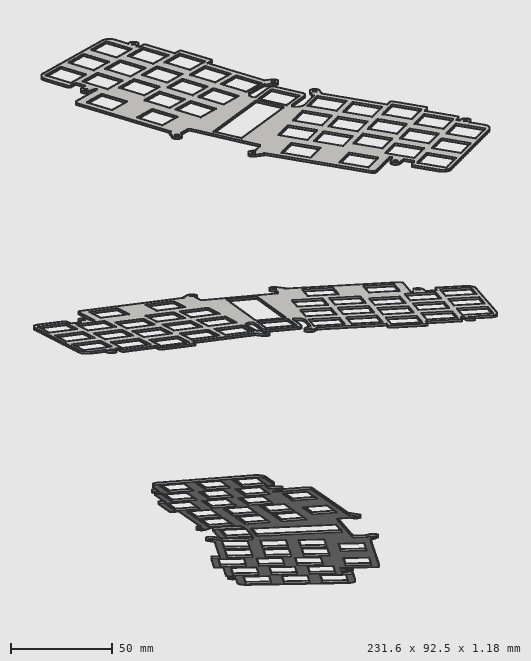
import cadquery as cq
import math


THICKNESS = 1.18
TILT = 7.0
KEY_PITCH = 19.05
COLUMN_STAGGER = KEY_PITCH / 4

CUTOUT_WIDTH = 15.65
CUTOUT_HEIGHT = 12.8
ROW_COUNT = 3
THUMB_SPACING = 1.625 * KEY_PITCH
FIRST_COLUMN_U = -103.53
FIRST_COLUMN_TOP_V = 18.17
COLUMN_OFFSETS = [0, 1, 2, 1, 1]
COLUMN_US = [FIRST_COLUMN_U + i * KEY_PITCH for i in range(len(COLUMN_OFFSETS))]
COLUMN_TOP_VS = [FIRST_COLUMN_TOP_V + n * COLUMN_STAGGER for n in COLUMN_OFFSETS]
INNER_THUMB_U = COLUMN_US[-1] - KEY_PITCH / 2
OUTER_THUMB_U = INNER_THUMB_U - THUMB_SPACING
THUMB_V = COLUMN_TOP_VS[-1] - ROW_COUNT * KEY_PITCH

OUTER_MARGIN = 10.0
STEP_MARGIN = 9.6
FIRST_TOP_MARGIN = 10.45
THIRD_TOP_MARGIN = 9.75
THUMB_SIDE_MARGIN = 12.8
FIELD_INNER_U = -17.8
STEM_U = -16.1
GAP_FLOOR_V = 13.1
FIELD_CORNER_RADIUS = 4.5
STEP_CORNER_RADIUS = 1.0
THUMB_CORNER_RADIUS = 2.0
GAP_OUTER_RADIUS = 4.5
GAP_INNER_RADIUS = 1.2

CENTRE_KEY_WIDTH = 16.0
CENTRE_KEY_HEIGHT = 13.2
CENTRE_KEY_Y = 20.93
CENTRE_FRAME_HALF_WIDTH = 10.15
CENTRE_FRAME_TOP_Y = 31.05
CENTRE_FRAME_RADIUS = 2.5
WINDOW_WIDTH = 16.0
WINDOW_TOP_Y = 12.2
WINDOW_BOTTOM_Y = -31.1
WINDOW_CORNER_RADIUS = 1.0
WEB_BOTTOM_Y = -33.8

HOLE_DIAMETER = 2.1
TAB_RADIUS = 2.5
OUTER_TOP_TAB = (-94.2, 41.85)
INNER_TOP_TAB = (-11.75, 36.15)
INNER_BOTTOM_TAB = (-21.6, -43.74)
OUTER_BOTTOM_TAB = (-87.9, -17.9)
NECK_LENGTH = 5.0
OUTER_TOP_NECK_DIRECTION = -90
INNER_TOP_NECK_DIRECTION = -135
INNER_BOTTOM_NECK_DIRECTION = 135
OUTER_BOTTOM_NECK_DIRECTION = 90
FLARED_NECK_LENGTH = 4.5
FLARE = 1.7


def tilted(u, v):
    """Plate coordinates of a point given in the tilted frame of the left key field."""
    angle = math.radians(TILT)
    x = u * math.cos(angle) + v * math.sin(angle)
    y = v * math.cos(angle) - u * math.sin(angle)
    return x, y


def on_tilted_line(u, y):
    """Point at height y on the tilted line of constant u."""
    angle = math.radians(TILT)
    v = (y + u * math.sin(angle)) / math.cos(angle)
    return tilted(u, v)


def on_floor_line(x, v):
    """Point at position x on the tilted line of constant v."""
    angle = math.radians(TILT)
    u = (x - v * math.sin(angle)) / math.cos(angle)
    return tilted(u, v)


def toward(start, end, distance):
    """Point a given distance from start on the way to end."""
    ratio = distance / math.dist(start, end)
    return start[0] + (end[0] - start[0]) * ratio, start[1] + (end[1] - start[1]) * ratio


def rounded_outline(corners):
    """Closed plate of the full thickness through (point, corner radius) pairs; the first is sharp."""
    outline = cq.Workplane("XY").moveTo(*corners[0][0])
    for index in range(1, len(corners)):
        corner, radius = corners[index]
        if radius == 0:
            outline = outline.lineTo(*corner)
            continue
        before = corners[index - 1][0]
        after = corners[(index + 1) % len(corners)][0]
        turn = math.atan2(before[1] - corner[1], before[0] - corner[0])
        turn -= math.atan2(after[1] - corner[1], after[0] - corner[0])
        half_angle = math.acos(math.cos(turn)) / 2
        tangent_length = radius / math.tan(half_angle)
        entry = toward(corner, before, tangent_length)
        leave = toward(corner, after, tangent_length)
        chord_middle = ((entry[0] + leave[0]) / 2, (entry[1] + leave[1]) / 2)
        bulge = radius / math.sin(half_angle) - radius
        outline = outline.lineTo(*entry)
        outline = outline.threePointArc(toward(corner, chord_middle, bulge), leave)
    return outline.close().extrude(THICKNESS)


def half_plate():
    """Left half of the plate, without tabs and openings."""
    left = COLUMN_US[0] - OUTER_MARGIN
    first_top = COLUMN_TOP_VS[0] + FIRST_TOP_MARGIN
    second_top = COLUMN_TOP_VS[1] + OUTER_MARGIN
    third_top = COLUMN_TOP_VS[2] + THIRD_TOP_MARGIN
    second_left = COLUMN_US[1] - STEP_MARGIN
    third_left = COLUMN_US[2] - OUTER_MARGIN
    third_right = COLUMN_US[2] + OUTER_MARGIN
    first_right = COLUMN_US[0] + STEP_MARGIN
    travel = (ROW_COUNT - 1) * KEY_PITCH
    first_bottom = COLUMN_TOP_VS[0] - travel - OUTER_MARGIN
    second_bottom = COLUMN_TOP_VS[1] - travel - STEP_MARGIN
    thumb_left = OUTER_THUMB_U - THUMB_SIDE_MARGIN
    thumb_bottom = THUMB_V - OUTER_MARGIN
    frame_left = -CENTRE_FRAME_HALF_WIDTH
    corners = [
        ((0, WEB_BOTTOM_Y), 0),
        ((0, CENTRE_FRAME_TOP_Y), 0),
        ((frame_left, CENTRE_FRAME_TOP_Y), CENTRE_FRAME_RADIUS),
        (on_floor_line(frame_left, GAP_FLOOR_V), GAP_INNER_RADIUS),
        (tilted(FIELD_INNER_U, GAP_FLOOR_V), GAP_OUTER_RADIUS),
        (tilted(FIELD_INNER_U, second_top), 0),
        (tilted(third_right, second_top), 0),
        (tilted(third_right, third_top), STEP_CORNER_RADIUS),
        (tilted(third_left, third_top), STEP_CORNER_RADIUS),
        (tilted(third_left, second_top), 0),
        (tilted(second_left, second_top), STEP_CORNER_RADIUS),
        (tilted(second_left, first_top), 0),
        (tilted(left, first_top), FIELD_CORNER_RADIUS),
        (tilted(left, first_bottom), FIELD_CORNER_RADIUS),
        (tilted(first_right, first_bottom), STEP_CORNER_RADIUS),
        (tilted(first_right, second_bottom), STEP_CORNER_RADIUS),
        (tilted(thumb_left, second_bottom), 0),
        (tilted(thumb_left, thumb_bottom), THUMB_CORNER_RADIUS),
        (tilted(STEM_U, thumb_bottom), 0),
        (on_tilted_line(STEM_U, WEB_BOTTOM_Y), STEP_CORNER_RADIUS),
    ]
    return rounded_outline(corners)


def tab(centre, neck_direction, neck_length=NECK_LENGTH, flare=0.0):
    """Round tab with a neck running in neck_direction (degrees), widened on one side by flare."""
    disc = cq.Workplane("XY").circle(TAB_RADIUS).extrude(THICKNESS)
    neck_points = [
        (0, TAB_RADIUS),
        (0, -TAB_RADIUS),
        (neck_length, -TAB_RADIUS - flare),
        (neck_length, TAB_RADIUS),
    ]
    neck = cq.Workplane("XY").polyline(neck_points).close().extrude(THICKNESS)
    shape = disc.union(neck).rotate((0, 0, 0), (0, 0, 1), neck_direction)
    return shape.translate((centre[0], centre[1], 0))


def key_cutouts():
    """Switch openings of the left key field and its thumb row."""
    centres = []
    for u, top_v in zip(COLUMN_US, COLUMN_TOP_VS):
        for row in range(ROW_COUNT):
            centres.append((u, top_v - row * KEY_PITCH))
    centres += [(INNER_THUMB_U, THUMB_V), (OUTER_THUMB_U, THUMB_V)]
    cutouts = cq.Workplane("XY").pushPoints(centres).rect(CUTOUT_WIDTH, CUTOUT_HEIGHT).extrude(THICKNESS)
    return cutouts.rotate((0, 0, 0), (0, 0, 1), -TILT)


def screw_holes():
    """Screw holes at the tab centres."""
    centres = [OUTER_TOP_TAB, INNER_TOP_TAB, INNER_BOTTOM_TAB, OUTER_BOTTOM_TAB]
    return cq.Workplane("XY").pushPoints(centres).circle(HOLE_DIAMETER / 2).extrude(THICKNESS)


def centre_openings():
    """Centre switch opening and the long window below it."""
    key = cq.Workplane("XY").center(0, CENTRE_KEY_Y).rect(CENTRE_KEY_WIDTH, CENTRE_KEY_HEIGHT)
    window_y = (WINDOW_TOP_Y + WINDOW_BOTTOM_Y) / 2
    window_height = WINDOW_TOP_Y - WINDOW_BOTTOM_Y
    window = cq.Workplane("XY").center(0, window_y).rect(WINDOW_WIDTH, window_height).extrude(THICKNESS)
    window = window.edges("|Z and >Y").fillet(WINDOW_CORNER_RADIUS)
    return key.extrude(THICKNESS).union(window)


half = half_plate()
half = half.union(tab(OUTER_TOP_TAB, OUTER_TOP_NECK_DIRECTION))
half = half.union(tab(INNER_TOP_TAB, INNER_TOP_NECK_DIRECTION))
half = half.union(tab(INNER_BOTTOM_TAB, INNER_BOTTOM_NECK_DIRECTION))
half = half.union(tab(OUTER_BOTTOM_TAB, OUTER_BOTTOM_NECK_DIRECTION, FLARED_NECK_LENGTH, FLARE))
half = half.cut(key_cutouts()).cut(screw_holes())

result = half.union(half.mirror("YZ")).cut(centre_openings())